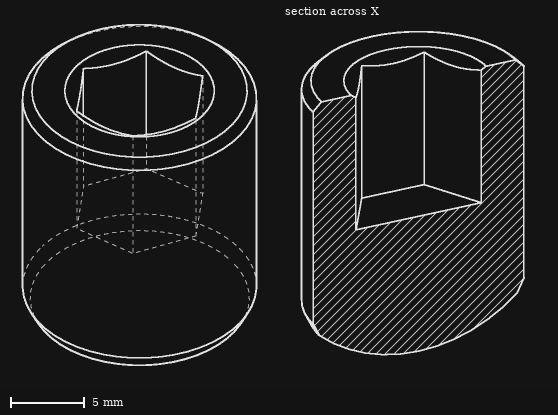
import cadquery as cq
import math

length = 20.65
diameter = 15.88
radius = diameter / 2
top_chamfer = 0.65

dome_height = 2.83
dome_edge_radius = 7.43
taper_height = 1.03

socket_sides = 6
socket_flats = 8.12
socket_depth = 10.32
countersink_diameter = 10.14
countersink_half_angle = 60.0

dome_radius = (dome_edge_radius**2 + dome_height**2) / (2 * dome_height)


def make_body():
    """Revolve the half profile: dome, taper, cylinder and top chamfer."""
    half_angle = math.asin(dome_edge_radius / dome_radius) / 2
    dome_middle = (
        dome_radius * math.sin(half_angle),
        dome_radius * (1 - math.cos(half_angle)),
    )
    return (
        cq.Workplane("XZ")
        .moveTo(0, 0)
        .threePointArc(dome_middle, (dome_edge_radius, dome_height))
        .lineTo(radius, dome_height + taper_height)
        .lineTo(radius, length - top_chamfer)
        .lineTo(radius - top_chamfer, length)
        .lineTo(0, length)
        .close()
        .revolve(360, (0, 0, 0), (0, 1, 0))
    )


def make_socket():
    """Blind hexagon with two corners on the Y axis."""
    corner_diameter = socket_flats / math.cos(math.pi / socket_sides)
    return (
        cq.Workplane("XY", origin=(0, 0, length - socket_depth))
        .polygon(socket_sides, corner_diameter)
        .extrude(socket_depth)
        .rotate((0, 0, 0), (0, 0, 1), 180 / socket_sides)
    )


def make_countersink():
    """Cone that opens the socket mouth, running down to its apex."""
    mouth_radius = countersink_diameter / 2
    depth = mouth_radius / math.tan(math.radians(countersink_half_angle))
    return (
        cq.Workplane("XZ")
        .moveTo(0, length)
        .lineTo(mouth_radius, length)
        .lineTo(0, length - depth)
        .close()
        .revolve(360, (0, 0, 0), (0, 1, 0))
    )


result = make_body().cut(make_socket()).cut(make_countersink())